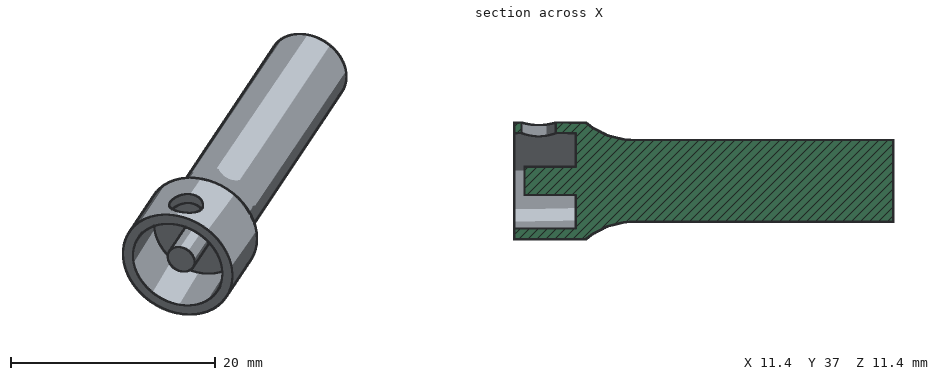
import cadquery as cq
import math

total_length = 37.0
shaft_radius = 8.0 / 2

collar_radius = 11.4 / 2
collar_length = 7.0

flare_radius = 7.0
flare_rise = collar_radius - shaft_radius
flare_length = math.sqrt(flare_radius**2 - (flare_radius - flare_rise) ** 2)
flare_angle = math.asin(flare_length / flare_radius)

socket_radius = 9.3 / 2
socket_depth = 6.0
pin_radius = 2.8 / 2
pin_setback = 1.0

cross_hole_radius = 3.3 / 2
cross_hole_setback = 2.4


def make_body():
    """Solid of revolution: collar, concave flare and straight shaft."""
    flare_end = collar_length + flare_length
    flare_mid = (
        shaft_radius + flare_radius * (1 - math.cos(flare_angle / 2)),
        flare_end - flare_radius * math.sin(flare_angle / 2),
    )
    return (
        cq.Workplane("XY")
        .moveTo(0, 0)
        .lineTo(collar_radius, 0)
        .lineTo(collar_radius, collar_length)
        .threePointArc(flare_mid, (shaft_radius, flare_end))
        .lineTo(shaft_radius, total_length)
        .lineTo(0, total_length)
        .close()
        .revolve(360, (0, 0, 0), (0, 1, 0))
    )


def cylinder_along_y(radius, start, end):
    """Cylinder on the part's axis between two Y positions."""
    return cq.Workplane("XZ", origin=(0, start, 0)).circle(radius).extrude(start - end)


def make_socket():
    """Ring-shaped space around the pin, open at the collar's end face."""
    bore = cylinder_along_y(socket_radius, 0, socket_depth)
    pin = cylinder_along_y(pin_radius, pin_setback, socket_depth)
    return bore.cut(pin)


def make_cross_hole():
    """Cutter through the +Z wall only, starting in the gap between pin and wall."""
    start_height = (pin_radius + socket_radius) / 2
    return (
        cq.Workplane("XY", origin=(0, cross_hole_setback, start_height))
        .circle(cross_hole_radius)
        .extrude(collar_radius - start_height)
    )


result = make_body().cut(make_socket()).cut(make_cross_hole())